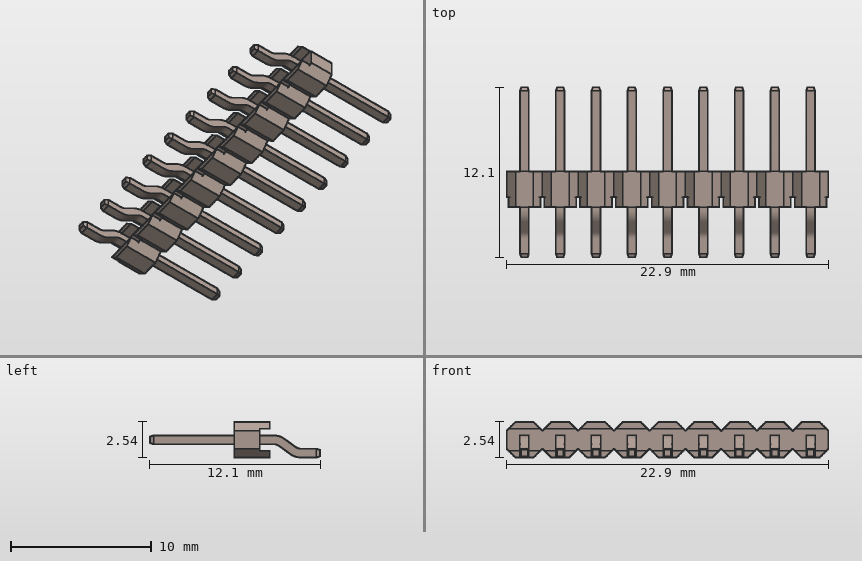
import cadquery as cq
import math

pin_count = 9
row_length = 22.85
pitch = row_length / pin_count

body_depth = pitch
body_height = pitch
corner_cut = pitch / 4
slot_depth = 0.7
lip_thickness = 0.5

pin_width = 0.65
rear_length = 6.0
front_length = 3.57
lead_length = 0.25
bend_inner_radius = 0.69
bend_angle = 36.0
tip_length = 0.27
tip_inset = 0.1

body_front = -body_depth
shank_rear = rear_length - tip_length
foot_front = body_front - front_length + tip_length

foot_drop = (body_height - pin_width) / 2


def make_block(center_x):
    """One octagonal block of the insulator, centred on a pin."""
    half_width = pitch / 2
    half_height = body_height / 2
    corners = [
        (half_width, half_height - corner_cut),
        (half_width - corner_cut, half_height),
        (corner_cut - half_width, half_height),
        (-half_width, half_height - corner_cut),
    ]
    outline = corners + [(x, -z) for x, z in reversed(corners)]
    return cq.Workplane("XZ").polyline(outline).close().extrude(body_depth).translate((center_x, 0, 0))


def make_front_slot():
    """Channel along the whole row that leaves a lip above and below the pins."""
    slot_height = body_height - 2 * lip_thickness
    return cq.Workplane("XY").box(row_length, slot_depth, slot_height).translate(
        (0, body_front + slot_depth / 2, 0)
    )


def make_bent_bar():
    """Pin without its tips: straight rear, S-bend, and a foot level with the insulator underside."""
    angle = math.radians(bend_angle)
    bend_radius = bend_inner_radius + pin_width / 2
    bend_run = bend_radius * math.sin(angle)
    bend_drop = bend_radius * (1 - math.cos(angle))
    slope_drop = foot_drop - 2 * bend_drop
    slope_run = slope_drop / math.tan(angle)

    half_run = bend_radius * math.sin(angle / 2)
    half_drop = bend_radius * (1 - math.cos(angle / 2))

    bend_start = body_front - lead_length
    slope_start = bend_start - bend_run
    slope_end = slope_start - slope_run
    foot_start = slope_end - bend_run

    center_line = (
        cq.Workplane("YZ")
        .moveTo(shank_rear, 0)
        .lineTo(bend_start, 0)
        .threePointArc((bend_start - half_run, -half_drop), (slope_start, -bend_drop))
        .lineTo(slope_end, bend_drop - foot_drop)
        .threePointArc((foot_start + half_run, half_drop - foot_drop), (foot_start, -foot_drop))
        .lineTo(foot_front, -foot_drop)
    )
    section = cq.Workplane("XZ", origin=(0, shank_rear, 0)).rect(pin_width, pin_width)
    return section.sweep(center_line)


def make_tip(base_y, base_z, direction):
    """Tapered pin end that starts at base_y and points along +Y (1) or -Y (-1)."""
    taper = math.degrees(math.atan2(tip_inset, tip_length))
    base = cq.Plane(origin=(0, base_y, base_z), xDir=(1, 0, 0), normal=(0, direction, 0))
    return cq.Workplane(base).rect(pin_width, pin_width).extrude(tip_length, taper=taper)


def make_pin():
    """Bent bar with a tapered tip on each end."""
    return (
        make_bent_bar()
        .union(make_tip(shank_rear, 0, 1))
        .union(make_tip(foot_front, -foot_drop, -1))
    )


pin_positions = [(i - (pin_count - 1) / 2) * pitch for i in range(pin_count)]

body = make_block(pin_positions[0])
for x in pin_positions[1:]:
    body = body.union(make_block(x))
body = body.cut(make_front_slot())

pin = make_pin()
result = body
for x in pin_positions:
    result = result.union(pin.translate((x, 0, 0)))